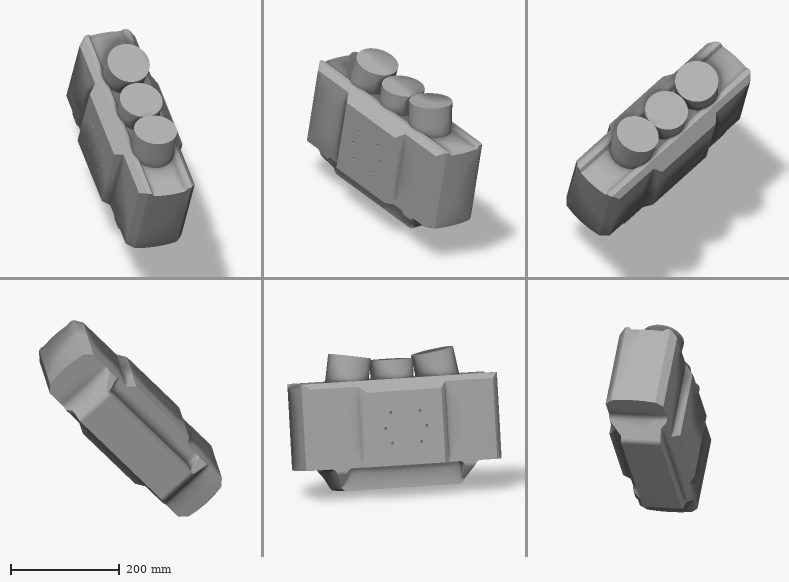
import cadquery as cq
import math

LEAN_ANGLE = 10

WIDTH = 390
BODY_DEPTH = 110
HEIGHT = 160
END_CHAMFER = 13
END_BULGE = 4.5
PAD_RISE = 12.5
PAD_BASE_WIDTH = 170
PAD_FACE_WIDTH = PAD_BASE_WIDTH - 2 * PAD_RISE
TOP_BEVEL_DEPTH = 23
TOP_BEVEL_HEIGHT = 22
TOTAL_DEPTH = BODY_DEPTH + 2 * PAD_RISE

CHANNEL_DEPTH = 6
CHANNEL_FLOOR_WIDTH = 61
CHANNEL_MOUTH_WIDTH = 71

FOOT_DROP = 42.5
FOOT_BOTTOM_WIDTH = 230
FOOT_SIDE_ANGLE = 30
FOOT_FRONT = -30
FOOT_BACK = 45
FOOT_RADIUS = 10
BEVEL_START = 8
BEVEL_RADIUS = 10
RECESS_WIDTH = 229
RECESS_RADIUS = 10

PIPE_DIAMETER = 80
PIPE_ROOT = 40
CENTRE_PIPE_LENGTH = 35
SIDE_PIPE_LENGTH = 46
SIDE_PIPE_OFFSET = 88.2
SIDE_PIPE_LEAN = 10

HOLE_DIAMETER = 6
HOLE_DEPTH = 5
HOLE_RING_RADIUS = 40
HOLE_RING_HEIGHT = 70
HOLE_ANGLES = (0, 45, 135, 180, 225, 315)

SELECT_MARGIN = 1


def plan_prism(bottom, top):
    """Housing plan with curved ends and centre pads, between two levels."""
    end_x = WIDTH / 2
    edge_x = end_x - END_BULGE
    face_x = edge_x - END_CHAMFER
    base_x = PAD_BASE_WIDTH / 2
    pad_x = PAD_FACE_WIDTH / 2
    body_y = BODY_DEPTH / 2
    edge_y = body_y - END_CHAMFER
    pad_y = TOTAL_DEPTH / 2
    plan = (
        cq.Workplane("XY", origin=(0, 0, bottom))
        .moveTo(edge_x, -edge_y)
        .threePointArc((end_x, 0), (edge_x, edge_y))
        .lineTo(face_x, body_y)
        .lineTo(base_x, body_y)
        .lineTo(pad_x, pad_y)
        .lineTo(-pad_x, pad_y)
        .lineTo(-base_x, body_y)
        .lineTo(-face_x, body_y)
        .lineTo(-edge_x, edge_y)
        .threePointArc((-end_x, 0), (-edge_x, -edge_y))
        .lineTo(-face_x, -body_y)
        .lineTo(-base_x, -body_y)
        .lineTo(-pad_x, -pad_y)
        .lineTo(pad_x, -pad_y)
        .lineTo(base_x, -body_y)
        .lineTo(face_x, -body_y)
        .close()
    )
    return plan.extrude(top - bottom)


def side_profile(points):
    """Closed (Y, Z) outline extruded across the full width."""
    return cq.Workplane("YZ").polyline(points).close().extrude(WIDTH / 2, both=True)


def side_envelope():
    """Side outline of housing and foot, with the top and foot bevels; the front foot bevel is rounded."""
    pad_y = TOTAL_DEPTH / 2
    body_y = BODY_DEPTH / 2
    ridge_y = pad_y - TOP_BEVEL_DEPTH
    shoulder_z = HEIGHT - TOP_BEVEL_HEIGHT
    envelope = side_profile([
        (-pad_y, 0),
        (-body_y, 0),
        (-body_y, -BEVEL_START),
        (FOOT_FRONT, -BEVEL_START - (body_y + FOOT_FRONT)),
        (FOOT_FRONT, -FOOT_DROP),
        (FOOT_BACK, -FOOT_DROP),
        (FOOT_BACK, -BEVEL_START - (body_y - FOOT_BACK)),
        (pad_y, PAD_RISE - BEVEL_START),
        (pad_y, shoulder_z),
        (ridge_y, HEIGHT),
        (-ridge_y, HEIGHT),
        (-pad_y, shoulder_z),
    ])
    bevel_edge = cq.selectors.BoxSelector(
        (-WIDTH / 2, -body_y - SELECT_MARGIN, -BEVEL_START - SELECT_MARGIN),
        (WIDTH / 2, -body_y + SELECT_MARGIN, -BEVEL_START + SELECT_MARGIN),
    )
    return envelope.edges("|X").edges(bevel_edge).fillet(BEVEL_RADIUS)


def front_envelope():
    """Front outline: full-width housing over the tapered foot."""
    half_bottom = FOOT_BOTTOM_WIDTH / 2
    half_top = half_bottom + FOOT_DROP * math.tan(math.radians(FOOT_SIDE_ANGLE))
    outline = (
        cq.Workplane("XZ")
        .polyline([
            (-WIDTH / 2, 0),
            (-half_top, 0),
            (-half_bottom, -FOOT_DROP),
            (half_bottom, -FOOT_DROP),
            (half_top, 0),
            (WIDTH / 2, 0),
            (WIDTH / 2, HEIGHT),
            (-WIDTH / 2, HEIGHT),
        ])
        .close()
        .extrude(TOTAL_DEPTH / 2, both=True)
    )
    corners = cq.selectors.BoxSelector(
        (-half_top - SELECT_MARGIN, -TOTAL_DEPTH, -FOOT_DROP - SELECT_MARGIN),
        (half_top + SELECT_MARGIN, TOTAL_DEPTH, SELECT_MARGIN),
    )
    return outline.edges("|Y").edges(corners).fillet(FOOT_RADIUS)


def front_recess():
    """Round-cornered recess in front of the foot, level with the housing underside."""
    depth = TOTAL_DEPTH / 2 + FOOT_FRONT
    return (
        cq.Workplane("XZ", origin=(0, FOOT_FRONT, 0))
        .rect(RECESS_WIDTH, 2 * FOOT_DROP)
        .extrude(depth)
        .edges("|Y")
        .fillet(RECESS_RADIUS)
        .translate((0, 0, -FOOT_DROP))
    )


def top_channel():
    """Trapezoidal channel along the top."""
    floor_y = CHANNEL_FLOOR_WIDTH / 2
    mouth_y = CHANNEL_MOUTH_WIDTH / 2
    floor_z = HEIGHT - CHANNEL_DEPTH
    return side_profile([(-floor_y, floor_z), (floor_y, floor_z), (mouth_y, HEIGHT), (-mouth_y, HEIGHT)])


def pipe(x, length, lean):
    """Pipe through the housing top at x, leaning by the angle about Y and rooted inside the housing."""
    return (
        cq.Workplane("XY")
        .circle(PIPE_DIAMETER / 2)
        .extrude(PIPE_ROOT + length)
        .translate((0, 0, -PIPE_ROOT))
        .rotate((0, 0, 0), (0, 1, 0), lean)
        .translate((x, 0, HEIGHT))
    )


def screw_holes():
    """Blind holes in the front pad."""
    angles = [math.radians(angle) for angle in HOLE_ANGLES]
    points = [(HOLE_RING_RADIUS * math.cos(a), HOLE_RING_RADIUS * math.sin(a)) for a in angles]
    return (
        cq.Workplane("XZ", origin=(0, -TOTAL_DEPTH / 2, HOLE_RING_HEIGHT))
        .pushPoints(points)
        .circle(HOLE_DIAMETER / 2)
        .extrude(-HOLE_DEPTH)
    )


housing = plan_prism(-FOOT_DROP, HEIGHT).intersect(side_envelope()).intersect(front_envelope())
housing = housing.cut(front_recess()).cut(top_channel()).cut(screw_holes())
housing = housing.union(pipe(0, CENTRE_PIPE_LENGTH, 0))
for side in (-1, 1):
    housing = housing.union(pipe(side * SIDE_PIPE_OFFSET, SIDE_PIPE_LENGTH, -side * SIDE_PIPE_LEAN))

result = housing.rotate((0, 0, 0), (1, 0, 0), -LEAN_ANGLE)